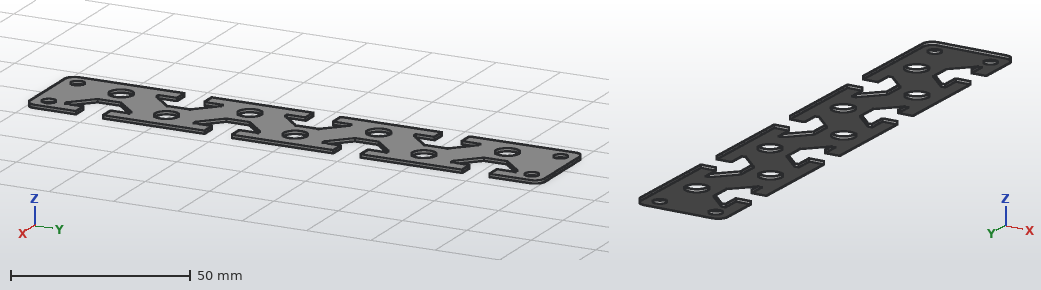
import cadquery as cq

length = 160.0
width = 28.0
thickness = 1.0
corner_radius = 3.0

corner_hole_diameter = 4.0
corner_hole_inset = 5.0

station_count = 7
station_spacing = length / (station_count + 1)
station_hole_diameter = 7.0
station_hole_inset = 8.0

notch_mouth = 8.5
notch_lip = 4.8
notch_wide = 20.0
notch_depth = 12.5
notch_floor = 7.2
notch_taper = (notch_wide - notch_floor) / 2


def make_plate():
    plate = cq.Workplane("XY").box(length=width, width=length, height=thickness)
    return plate.edges("|Z").fillet(corner_radius)


def make_notch(side, y_center):
    """Cutter opening through the long edge at +X (side = 1) or -X (side = -1)."""
    edge = side * width / 2
    lip = edge - side * notch_lip
    floor = edge - side * notch_depth
    shoulder = floor + side * notch_taper
    upper_half = [
        (edge, notch_mouth / 2),
        (lip, notch_mouth / 2),
        (lip, notch_wide / 2),
        (shoulder, notch_wide / 2),
        (floor, notch_floor / 2),
    ]
    lower_half = [(x, -y) for x, y in reversed(upper_half)]
    outline = [(x, y_center + y) for x, y in upper_half + lower_half]
    return cq.Workplane("XY").polyline(outline).close().extrude(thickness, both=True)


result = make_plate()

result = (
    result.faces(">Z")
    .workplane(origin=(0, 0, 0))
    .rect(width - 2 * corner_hole_inset, length - 2 * corner_hole_inset, forConstruction=True)
    .vertices()
    .hole(corner_hole_diameter)
)

station_holes = []
for station in range(station_count):
    side = 1 if station % 2 == 0 else -1
    y_station = length / 2 - (station + 1) * station_spacing
    result = result.cut(make_notch(side, y_station))
    station_holes.append((-side * (width / 2 - station_hole_inset), y_station))

result = (
    result.faces(">Z")
    .workplane(origin=(0, 0, 0))
    .pushPoints(station_holes)
    .hole(station_hole_diameter)
)